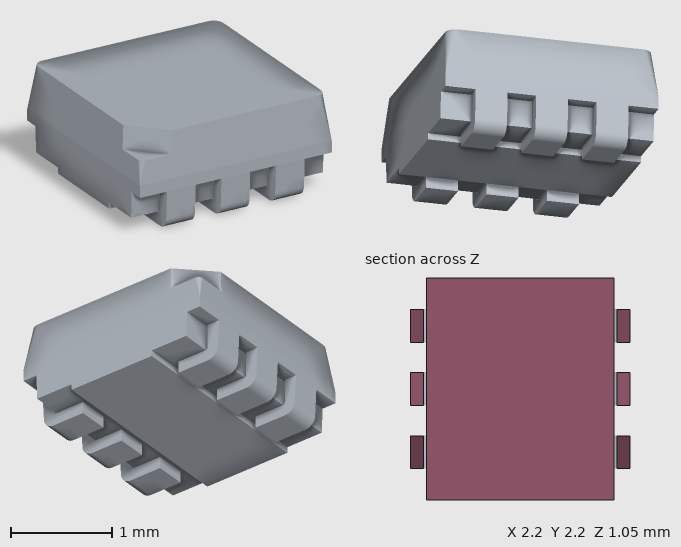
import cadquery as cq
import math

SIDE = 2.2
HEIGHT = 1.05

BELT_BOTTOM = 0.42
BELT_TOP = 0.55
BASE_BOTTOM = 0.14
BOSS_BOTTOM = 0.075

TOP_INSET = 0.04
TOP_CORNER_RADIUS = 0.11
BELT_CORNER_RADIUS = 0.002
BOSS_WIDTH = 0.999
BASE_TOP_INSET = 0.16
BASE_BOTTOM_INSET = 0.172

NOTCH_FLOOR = 0.8
NOTCH_LEG = 0.352
NOTCH_WALL_ANGLE = 6.0

LENS_SIDE = 1.844
LENS_CORNER_CUT = 0.268
LENS_DEPTH = HEIGHT - BELT_TOP

LEADS_PER_SIDE = 3
LEAD_PITCH = 0.625
LEAD_WIDTH = 0.33
LEAD_THICKNESS = 0.132
LEAD_INNER_INSET = 0.14
LEAD_LEAN = 0.022
LEAD_FOOT_END_INSET = 0.504
LEAD_OUTER_RADIUS = 0.12
LEAD_INNER_RADIUS = 0.026

HALF_SIDE = SIDE / 2


def make_housing_top():
    """Tapered cap whose nearly sharp corners at the belt open out to full rounds at the top."""
    top_side = SIDE - 2 * TOP_INSET
    belt_sketch = cq.Sketch().rect(SIDE, SIDE).vertices().fillet(BELT_CORNER_RADIUS)
    top_sketch = cq.Sketch().rect(top_side, top_side).vertices().fillet(TOP_CORNER_RADIUS)
    top_location = cq.Location(cq.Vector(0, 0, HEIGHT - BELT_TOP))
    return (
        cq.Workplane("XY", origin=(0, 0, BELT_TOP))
        .placeSketch(belt_sketch, top_sketch.moved(top_location))
        .loft(ruled=True)
    )


def make_housing_base():
    """Belt, narrower base and central boss, all running the full length along Y."""
    base_top_x = HALF_SIDE - BASE_TOP_INSET
    base_bottom_x = HALF_SIDE - BASE_BOTTOM_INSET
    boss_x = BOSS_WIDTH / 2
    right_half = [
        (HALF_SIDE, BELT_TOP),
        (HALF_SIDE, BELT_BOTTOM),
        (base_top_x, BELT_BOTTOM),
        (base_bottom_x, BASE_BOTTOM),
        (boss_x, BASE_BOTTOM),
        (boss_x, BOSS_BOTTOM),
    ]
    left_half = [(-x, z) for x, z in reversed(right_half)]
    return cq.Workplane("XZ").polyline(right_half + left_half).close().extrude(HALF_SIDE, both=True)


def make_corner_notch():
    """Wedge removed from the cap; its wall leans outward on the way down."""
    depth = HEIGHT - NOTCH_FLOOR
    top_distance = (SIDE - 2 * TOP_INSET - NOTCH_LEG) / math.sqrt(2)
    floor_distance = top_distance + depth * math.tan(math.radians(NOTCH_WALL_ANGLE))
    profile = [
        (floor_distance, NOTCH_FLOOR),
        (SIDE, NOTCH_FLOOR),
        (SIDE, HEIGHT),
        (top_distance, HEIGHT),
    ]
    wedge = cq.Workplane("XZ").polyline(profile).close().extrude(HALF_SIDE, both=True)
    return wedge.rotate((0, 0, 0), (0, 0, 1), -45)


def make_lens():
    return (
        cq.Workplane("XY", origin=(0, 0, HEIGHT - LENS_DEPTH))
        .rect(LENS_SIDE, LENS_SIDE)
        .extrude(LENS_DEPTH)
        .edges("|Z")
        .chamfer(LENS_CORNER_CUT)
    )


def make_housing(lens):
    return make_housing_base().union(make_housing_top()).cut(make_corner_notch()).cut(lens)


def make_lead(side_sign, y_center):
    """L-shaped lead hanging from the belt, with its foot turned in under the housing."""
    outline = [
        (HALF_SIDE, BELT_BOTTOM),
        (HALF_SIDE - LEAD_LEAN, 0),
        (HALF_SIDE - LEAD_FOOT_END_INSET, 0),
        (HALF_SIDE - LEAD_FOOT_END_INSET, LEAD_THICKNESS),
        (HALF_SIDE - LEAD_INNER_INSET, LEAD_THICKNESS),
        (HALF_SIDE - LEAD_INNER_INSET, BELT_BOTTOM),
    ]
    outline = [(side_sign * x, z) for x, z in outline]
    outer_bend, inner_bend = outline[1], outline[4]
    lead = cq.Workplane("XZ").polyline(outline).close().extrude(LEAD_WIDTH / 2, both=True)
    for (x, z), radius in ((outer_bend, LEAD_OUTER_RADIUS), (inner_bend, LEAD_INNER_RADIUS)):
        lead = lead.edges(cq.selectors.NearestToPointSelector((x, 0, z))).fillet(radius)
    return lead.translate((0, y_center, 0))


lens = make_lens()
housing = make_housing(lens)

leads = []
for side_sign in (-1, 1):
    for index in range(LEADS_PER_SIDE):
        y_center = (index - (LEADS_PER_SIDE - 1) / 2) * LEAD_PITCH
        leads.append(make_lead(side_sign, y_center).val())

result = cq.Compound.makeCompound([housing.val(), lens.val(), *leads])